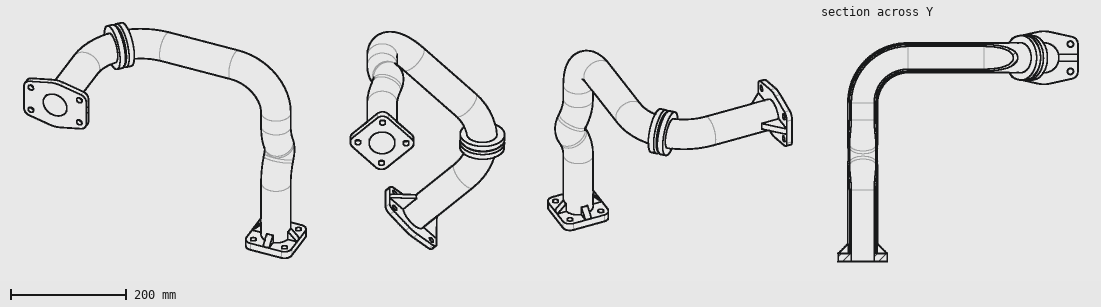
import cadquery as cq
import math


PIPE_DIAMETER = 52.0
PIPE_RADIUS = PIPE_DIAMETER / 2
BORE_RADIUS = 22.5
RISER_BEND_RADIUS = 78.0
INLET_BEND_RADIUS = 104.0

AXIS_HEIGHT = 352.5
INLET_X = -313.5
INLET_FACE_Y = -235.0

KINK_HEIGHT = 184.7
KINK_HALF_SPAN = 60.0
KINK_OFFSET = 15.8
KINK_ANGLE = math.radians(27)
KINK_PEAK_RADIUS = 27.0

BASE_WIDTH = 85.5
BASE_THICKNESS = 14.0
BASE_HOLE_SPACING = 59.0
BASE_GUSSET_LEG = 16.0

INLET_THICKNESS = 10.0
INLET_HALF_HEIGHT = 46.0
INLET_WIDTH = 118.0
INLET_HOLE_SPACING_X = 91.7
INLET_HOLE_SPACING_Z = 47.5
INLET_GUSSET_LEG = 32.5

BOLT_HOLE_DIAMETER = 10.0
GUSSET_THICKNESS = 11.5
GUSSET_ROOT = 24.0

COLLAR_RADIUS = 38.5
COLLAR_LENGTH = 26.5
GROOVE_WIDTH = 7.0
GROOVE_DEPTH = GROOVE_WIDTH / 2


def riser_kink():
    """Centreline edges of the kink, going up: bend out, slope, peak, slope, bend back."""
    sin_a = math.sin(KINK_ANGLE)
    cos_a = math.cos(KINK_ANGLE)
    radius_sum = (KINK_HALF_SPAN * sin_a - KINK_OFFSET * cos_a) / (1 - cos_a)
    end_radius = radius_sum - KINK_PEAK_RADIUS

    def point(y, from_peak):
        return cq.Vector(0, y, KINK_HEIGHT + from_peak)

    slope_start_y = end_radius * (1 - cos_a)
    slope_start_z = KINK_HALF_SPAN - end_radius * sin_a
    slope_end_y = KINK_OFFSET - KINK_PEAK_RADIUS * (1 - cos_a)
    slope_end_z = KINK_PEAK_RADIUS * sin_a
    bottom = point(0, -KINK_HALF_SPAN)
    lower_start = point(slope_start_y, -slope_start_z)
    lower_end = point(slope_end_y, -slope_end_z)
    upper_end = point(slope_end_y, slope_end_z)
    upper_start = point(slope_start_y, slope_start_z)
    top = point(0, KINK_HALF_SPAN)
    outward = cq.Vector(0, sin_a, cos_a)
    inward = cq.Vector(0, -sin_a, cos_a)
    return [
        cq.Edge.makeTangentArc(bottom, cq.Vector(0, 0, 1), lower_start),
        cq.Edge.makeLine(lower_start, lower_end),
        cq.Edge.makeTangentArc(lower_end, outward, upper_end),
        cq.Edge.makeLine(upper_end, upper_start),
        cq.Edge.makeTangentArc(upper_start, inward, top),
    ]


def centreline():
    """Wire from the middle of the base face to the middle of the inlet face."""
    base = cq.Vector(0, 0, 0)
    riser_end = cq.Vector(0, 0, AXIS_HEIGHT - RISER_BEND_RADIUS)
    run_start = cq.Vector(-RISER_BEND_RADIUS, 0, AXIS_HEIGHT)
    run_end = cq.Vector(INLET_X + INLET_BEND_RADIUS, 0, AXIS_HEIGHT)
    inlet_start = cq.Vector(INLET_X, -INLET_BEND_RADIUS, AXIS_HEIGHT)
    inlet = cq.Vector(INLET_X, INLET_FACE_Y, AXIS_HEIGHT)
    kink = riser_kink()
    return cq.Wire.assembleEdges([
        cq.Edge.makeLine(base, kink[0].startPoint()),
        *kink,
        cq.Edge.makeLine(kink[-1].endPoint(), riser_end),
        cq.Edge.makeTangentArc(riser_end, cq.Vector(0, 0, 1), run_start),
        cq.Edge.makeLine(run_start, run_end),
        cq.Edge.makeTangentArc(run_end, cq.Vector(-1, 0, 0), inlet_start),
        cq.Edge.makeLine(inlet_start, inlet),
    ])


def round_bar(radius):
    """Solid round bar along the whole centreline."""
    return cq.Workplane("XY").circle(radius).sweep(centreline())


def gusset(plane, flange_top, leg, angle):
    """45 degree rib between pipe and flange, turned about the plane's normal by the angle."""
    rib_plane = plane.rotated((0, 0, angle)).rotated((90, 0, 0))
    return (
        cq.Workplane(rib_plane)
        .moveTo(GUSSET_ROOT, flange_top)
        .lineTo(PIPE_RADIUS + leg, flange_top)
        .lineTo(PIPE_RADIUS, flange_top + leg)
        .lineTo(GUSSET_ROOT, flange_top + leg)
        .close()
        .extrude(GUSSET_THICKNESS / 2, both=True)
    )


def base_flange():
    """Square flange with rounded corners, four bolt holes and four gussets."""
    corner_radius = (BASE_WIDTH - BASE_HOLE_SPACING) / 2
    flange = (
        cq.Workplane("XY")
        .rect(BASE_WIDTH, BASE_WIDTH)
        .extrude(BASE_THICKNESS)
        .edges("|Z")
        .fillet(corner_radius)
        .faces(">Z")
        .workplane()
        .rect(BASE_HOLE_SPACING, BASE_HOLE_SPACING, forConstruction=True)
        .vertices()
        .hole(BOLT_HOLE_DIAMETER)
    )
    for angle in (0, 90, 180, 270):
        flange = flange.union(gusset(cq.Plane.XY(), BASE_THICKNESS, BASE_GUSSET_LEG, angle))
    return flange


def inlet_flange():
    """Flange bounded by four arcs about the bolt holes and two about the bore."""
    plane = cq.Plane(origin=(INLET_X, INLET_FACE_Y, AXIS_HEIGHT), xDir=(-1, 0, 0), normal=(0, 1, 0))
    hole_x = INLET_HOLE_SPACING_X / 2
    hole_y = INLET_HOLE_SPACING_Z / 2
    corner_radius = (INLET_WIDTH - INLET_HOLE_SPACING_X) / 2
    normal_angle = math.atan2(hole_y, hole_x) + math.acos(
        (INLET_HALF_HEIGHT - corner_radius) / math.hypot(hole_x, hole_y)
    )

    def corner(side_x, side_y, angle):
        x = hole_x + corner_radius * math.cos(angle)
        y = hole_y + corner_radius * math.sin(angle)
        return side_x * x, side_y * y

    half_angle = normal_angle / 2
    crown_x = INLET_HALF_HEIGHT * math.cos(normal_angle)
    crown_y = INLET_HALF_HEIGHT * math.sin(normal_angle)
    outline = (
        cq.Workplane(plane)
        .moveTo(-crown_x, crown_y)
        .threePointArc((0, INLET_HALF_HEIGHT), (crown_x, crown_y))
        .lineTo(*corner(1, 1, normal_angle))
        .threePointArc(corner(1, 1, half_angle), corner(1, 1, 0))
        .lineTo(*corner(1, -1, 0))
        .threePointArc(corner(1, -1, half_angle), corner(1, -1, normal_angle))
        .lineTo(crown_x, -crown_y)
        .threePointArc((0, -INLET_HALF_HEIGHT), (-crown_x, -crown_y))
        .lineTo(*corner(-1, -1, normal_angle))
        .threePointArc(corner(-1, -1, half_angle), corner(-1, -1, 0))
        .lineTo(*corner(-1, 1, 0))
        .threePointArc(corner(-1, 1, half_angle), corner(-1, 1, normal_angle))
        .close()
    )
    flange = (
        outline.extrude(INLET_THICKNESS)
        .faces(">Y")
        .workplane(origin=plane.origin)
        .rect(INLET_HOLE_SPACING_X, INLET_HOLE_SPACING_Z, forConstruction=True)
        .vertices()
        .hole(BOLT_HOLE_DIAMETER)
    )
    for angle in (0, 180):
        flange = flange.union(gusset(plane, INLET_THICKNESS, INLET_GUSSET_LEG, angle))
    return flange


def collar():
    """Ring square to the middle of the inlet bend, with a V groove around it."""
    diagonal = INLET_BEND_RADIUS * math.sqrt(0.5)
    middle = (
        INLET_X + INLET_BEND_RADIUS - diagonal,
        diagonal - INLET_BEND_RADIUS,
        AXIS_HEIGHT,
    )
    half_length = COLLAR_LENGTH / 2
    half_groove = GROOVE_WIDTH / 2
    plane = cq.Plane(origin=middle, xDir=(0, 0, 1), normal=(1, -1, 0))
    return (
        cq.Workplane(plane)
        .moveTo(0, -half_length)
        .lineTo(COLLAR_RADIUS, -half_length)
        .lineTo(COLLAR_RADIUS, -half_groove)
        .lineTo(COLLAR_RADIUS - GROOVE_DEPTH, 0)
        .lineTo(COLLAR_RADIUS, half_groove)
        .lineTo(COLLAR_RADIUS, half_length)
        .lineTo(0, half_length)
        .close()
        .revolve(360, (0, 0), (0, 1))
    )


result = (
    round_bar(PIPE_RADIUS)
    .union(base_flange())
    .union(inlet_flange())
    .union(collar())
    .cut(round_bar(BORE_RADIUS))
)